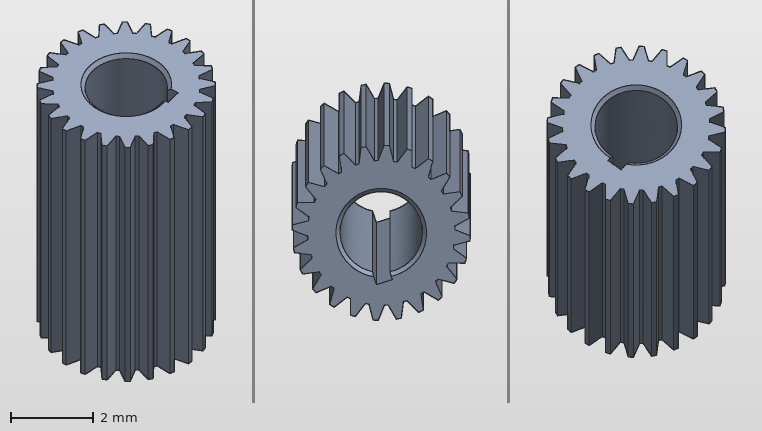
import cadquery as cq
import math

length = 8.0
tooth_count = 24
pitch_diameter = 4.0
module = pitch_diameter / tooth_count
tip_radius = pitch_diameter / 2 + module
dedendum_factor = 1.25
root_radius = pitch_diameter / 2 - dedendum_factor * module
tip_width = 0.13
root_gap_width = 0.09
first_gap_angle = -1.4

bore_diameter = 2.0
mouth_diameter = 2.2
bore_chamfer = (mouth_diameter - bore_diameter) / 2

keyway_reach = 1.18
keyway_width = 0.41
keyway_offset = 0.3


def polar(radius, angle):
    """Point at a radius and an angle in degrees."""
    return (radius * math.cos(math.radians(angle)), radius * math.sin(math.radians(angle)))


def gear_blank():
    """Solid gear with straight-flanked teeth and arcs at the tips and roots."""
    pitch_angle = 360 / tooth_count
    half_tip_angle = math.degrees(tip_width / tip_radius) / 2
    half_gap_angle = math.degrees(root_gap_width / root_radius) / 2

    outline = cq.Workplane("XY").moveTo(*polar(root_radius, first_gap_angle - half_gap_angle))
    for index in range(tooth_count):
        gap_angle = first_gap_angle + index * pitch_angle
        tooth_angle = gap_angle + pitch_angle / 2
        next_gap_start = gap_angle + pitch_angle - half_gap_angle
        outline = (
            outline
            .threePointArc(polar(root_radius, gap_angle), polar(root_radius, gap_angle + half_gap_angle))
            .lineTo(*polar(tip_radius, tooth_angle - half_tip_angle))
            .threePointArc(polar(tip_radius, tooth_angle), polar(tip_radius, tooth_angle + half_tip_angle))
            .lineTo(*polar(root_radius, next_gap_start))
        )
    return outline.close().extrude(length)


def bore():
    """Through bore, widened by a 45 degree chamfer at both ends."""
    bore_radius = bore_diameter / 2
    mouth_radius = mouth_diameter / 2
    return (
        cq.Workplane("XZ")
        .moveTo(0, 0)
        .lineTo(mouth_radius, 0)
        .lineTo(bore_radius, bore_chamfer)
        .lineTo(bore_radius, length - bore_chamfer)
        .lineTo(mouth_radius, length)
        .lineTo(0, length)
        .close()
        .revolve(360, (0, 0, 0), (0, 1, 0))
    )


def keyway():
    """Rectangular slot along the full length of the bore wall on the +X side."""
    return (
        cq.Workplane("XY")
        .center(keyway_reach / 2, keyway_offset)
        .rect(keyway_reach, keyway_width)
        .extrude(length)
    )


result = gear_blank().cut(bore()).cut(keyway())